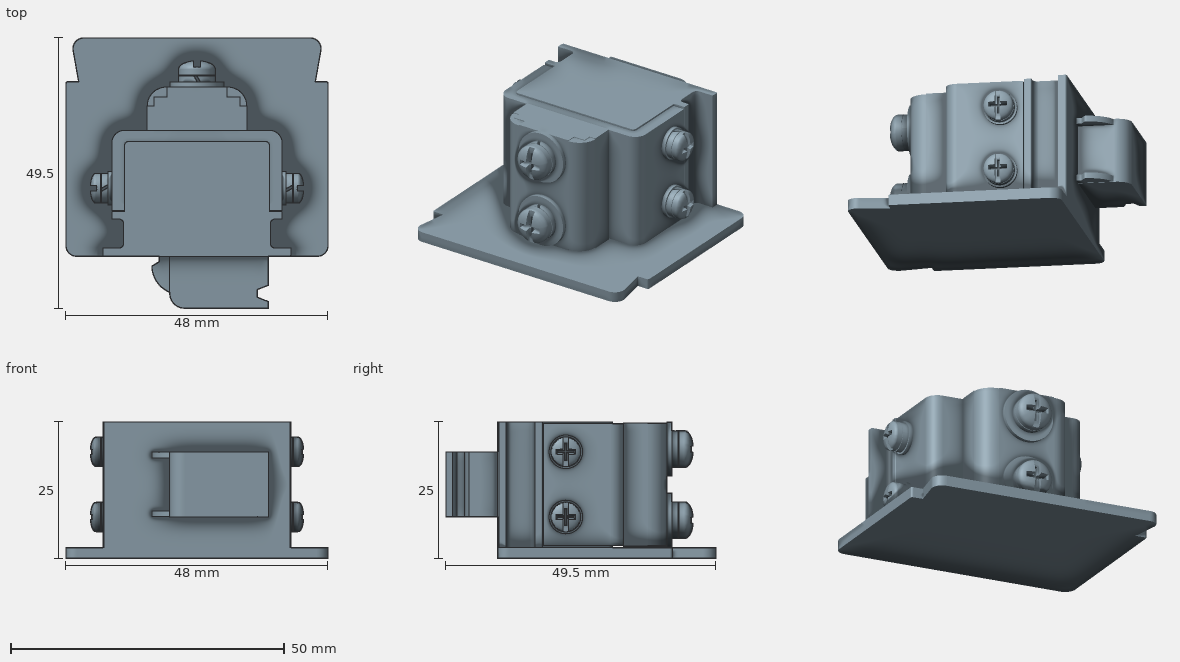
import cadquery as cq
import math


TOTAL_DEPTH = 49.5

PLATE_WIDTH = 48.0
PLATE_DEPTH = 40.0
PLATE_THICKNESS = 2.0
PLATE_CORNER_RADIUS = 2.0
SHOULDER_Y = 32.0
SHOULDER_RADIUS = 0.4
NECK_HALF_WIDTH = 21.7
NECK_FLARE_ANGLE = 10.0

TOTAL_HEIGHT = 25.0
CORE_HALF_WIDTH = 13.25
CORE_BACK_Y = 21.05
CORE_CORNER_RADIUS = 0.75
FRONT_FLANGE_HALF_WIDTH = 17.25
FRONT_FLANGE_THICKNESS = 1.55
FRONT_FLANGE_CHAMFER = 0.2
GROOVE_HALF_WIDTH = 13.4
GROOVE_RADIUS = 0.9
RIB_FRONT_Y = 6.85
RIB_BACK_Y = 8.2
RIB_CORNER_RADIUS = 0.2

BRACKET_HALF_WIDTH = 15.6
BRACKET_FRONT_Y = 8.4
BRACKET_BACK_Y = 23.05
BRACKET_CORNER_RADIUS = 2.35
BRACKET_RECESS = 0.35

BOSS_HALF_WIDTH = 9.1
BOSS_BACK_Y = 31.0
BOSS_CORNER_RADIUS = 3.45
BOSS_RECESS = 0.2
BOSS_INNER_HALF_WIDTH = 5.5
BOSS_STEP_HALF_WIDTH = 7.85
BOSS_STEP_Y = 29.15

LATCH_LEFT_X = -5.0
LATCH_RIGHT_X = 13.05
LATCH_LENGTH = TOTAL_DEPTH - PLATE_DEPTH
LATCH_CORNER_RADIUS = 2.7
LATCH_BOTTOM_Z = 7.55
LATCH_HEIGHT = 11.95
NOTCH_DEPTH = 2.05
NOTCH_Y = -6.8
NOTCH_MOUTH = 2.95
NOTCH_FLOOR = 1.4
TAB_THICKNESS = 1.1
TAB_RECESS = 0.05
TAB_ROOT_X = -6.95
TAB_ROOT_Y = -1.0
TAB_TIP_X = -8.25
TAB_TIP_START_Y = -1.8
TAB_TIP_END_Y = -2.15
TAB_MIDDLE = (-7.05, -5.1)
TAB_END_Y = -6.6

SIDE_SCREW_Y = 12.45
SIDE_SCREW_HEIGHTS = (7.55, 19.5)
REAR_SCREW_HEIGHTS = (7.0, 20.0)
SIDE_SCREW = dict(washer_radius=3.05, washer_thickness=0.75, head_radius=2.7, spring_thickness=1.3,
                  rim_height=2.9, head_height=3.95)
REAR_SCREW = dict(washer_radius=4.95, washer_thickness=0.9, head_radius=3.35, spring_thickness=1.3,
                  rim_height=3.25, head_height=4.85)
WASHER_GAP = 0.15
SPLIT_WIDTH = 0.5
SPLIT_ANGLE = 30.0
SLOT_WIDTH_RATIO = 0.36
SLOT_DEPTH = 1.2
CROSS_SPAN_RATIO = 1.36
CROSS_DEPTH = 1.8
CROSS_TAPER = 12.0


def box(x_range, y_range, z_range):
    """Box between the given limits along each axis."""
    (x0, x1), (y0, y1), (z0, z1) = x_range, y_range, z_range
    return cq.Workplane("XY").box(x1 - x0, y1 - y0, z1 - z0, centered=False).translate((x0, y0, z0))


def make_plate():
    half = PLATE_WIDTH / 2
    flare = (PLATE_DEPTH - SHOULDER_Y) * math.tan(math.radians(NECK_FLARE_ANGLE))
    back_half = NECK_HALF_WIDTH + flare
    right_side = [(half, 0), (half, SHOULDER_Y), (NECK_HALF_WIDTH, SHOULDER_Y), (back_half, PLATE_DEPTH)]
    left_side = [(-x, y) for x, y in reversed(right_side)]
    plate = cq.Workplane("XY").polyline(right_side + left_side).close().extrude(PLATE_THICKNESS)
    plate = plate.edges("|Z and (<Y or >Y)").fillet(PLATE_CORNER_RADIUS)
    return plate.edges("|Z and (<X or >X)").edges(">Y").fillet(SHOULDER_RADIUS)


def make_housing():
    """Core with a front flange and a rib on each side, and a groove between flange and rib."""
    heights = (PLATE_THICKNESS, TOTAL_HEIGHT)
    core = box((-CORE_HALF_WIDTH, CORE_HALF_WIDTH), (0, CORE_BACK_Y), heights)
    core = core.edges("|Z and >Y").fillet(CORE_CORNER_RADIUS)
    flange_width = (-FRONT_FLANGE_HALF_WIDTH, FRONT_FLANGE_HALF_WIDTH)
    front_flange = box(flange_width, (0, FRONT_FLANGE_THICKNESS), heights)
    front_flange = front_flange.edges("|Z and <Y").chamfer(FRONT_FLANGE_CHAMFER)
    ribs = box((-BRACKET_HALF_WIDTH, BRACKET_HALF_WIDTH), (RIB_FRONT_Y, RIB_BACK_Y), heights)
    ribs = ribs.edges("|Z").fillet(RIB_CORNER_RADIUS)
    groove_walls = box((-GROOVE_HALF_WIDTH, GROOVE_HALF_WIDTH), (0, RIB_BACK_Y), heights)
    housing = core.union(groove_walls).union(front_flange).union(ribs)
    groove_corners = cq.selectors.BoxSelector(
        (-GROOVE_HALF_WIDTH - RIB_CORNER_RADIUS / 2, FRONT_FLANGE_THICKNESS / 2, 0),
        (GROOVE_HALF_WIDTH + RIB_CORNER_RADIUS / 2, (RIB_FRONT_Y + RIB_BACK_Y) / 2, TOTAL_HEIGHT),
    )
    return housing.edges("|Z").edges(groove_corners).fillet(GROOVE_RADIUS)


def make_bracket():
    heights = (PLATE_THICKNESS + BRACKET_RECESS, TOTAL_HEIGHT - BRACKET_RECESS)
    block = box((-BRACKET_HALF_WIDTH, BRACKET_HALF_WIDTH), (BRACKET_FRONT_Y, BRACKET_BACK_Y), heights)
    block = block.edges("|Z and >Y").fillet(BRACKET_CORNER_RADIUS)
    opening = box((-CORE_HALF_WIDTH, CORE_HALF_WIDTH), (BRACKET_FRONT_Y, CORE_BACK_Y), heights)
    return block.cut(opening.edges("|Z and >Y").fillet(CORE_CORNER_RADIUS))


def make_boss():
    """Boss with rounded rear corners, each set a little lower along a stepped line."""
    tangent_y = BOSS_BACK_Y - BOSS_CORNER_RADIUS

    def rounded_block(recess):
        heights = (PLATE_THICKNESS + recess, TOTAL_HEIGHT - recess)
        block = box((-BOSS_HALF_WIDTH, BOSS_HALF_WIDTH), (BRACKET_BACK_Y, BOSS_BACK_Y), heights)
        return block.edges("|Z and >Y").fillet(BOSS_CORNER_RADIUS)

    right_side = [
        (BOSS_HALF_WIDTH, BRACKET_BACK_Y),
        (BOSS_HALF_WIDTH, tangent_y),
        (BOSS_STEP_HALF_WIDTH, tangent_y),
        (BOSS_STEP_HALF_WIDTH, BOSS_STEP_Y),
        (BOSS_INNER_HALF_WIDTH, BOSS_STEP_Y),
        (BOSS_INNER_HALF_WIDTH, BOSS_BACK_Y),
    ]
    left_side = [(-x, y) for x, y in reversed(right_side)]
    stepped = cq.Workplane("XY").polyline(right_side + left_side).close().extrude(TOTAL_HEIGHT)
    return rounded_block(BRACKET_RECESS).union(rounded_block(BOSS_RECESS).intersect(stepped))


def make_latch():
    latch_top_z = LATCH_BOTTOM_Z + LATCH_HEIGHT
    latch = box((LATCH_LEFT_X, LATCH_RIGHT_X), (-LATCH_LENGTH, 0), (LATCH_BOTTOM_Z, latch_top_z))
    latch = latch.edges("|Z and <X and <Y").fillet(LATCH_CORNER_RADIUS)
    notch = (
        cq.Workplane("XY", origin=(LATCH_RIGHT_X, NOTCH_Y, LATCH_BOTTOM_Z))
        .polyline([(0, -NOTCH_MOUTH / 2), (0, NOTCH_MOUTH / 2),
                   (-NOTCH_DEPTH, NOTCH_FLOOR / 2), (-NOTCH_DEPTH, -NOTCH_FLOOR / 2)])
        .close()
        .extrude(LATCH_HEIGHT)
    )
    latch = latch.cut(notch)
    lower_tab_z = LATCH_BOTTOM_Z + TAB_RECESS
    upper_tab_z = latch_top_z - TAB_RECESS - TAB_THICKNESS
    for tab_bottom_z in (lower_tab_z, upper_tab_z):
        tab = (
            cq.Workplane("XY", origin=(0, 0, tab_bottom_z))
            .moveTo(LATCH_LEFT_X, 0)
            .lineTo(TAB_ROOT_X, 0)
            .lineTo(TAB_ROOT_X, TAB_ROOT_Y)
            .lineTo(TAB_TIP_X, TAB_TIP_START_Y)
            .lineTo(TAB_TIP_X, TAB_TIP_END_Y)
            .threePointArc(TAB_MIDDLE, (LATCH_LEFT_X, TAB_END_Y))
            .close()
            .extrude(TAB_THICKNESS)
        )
        latch = latch.union(tab)
    return latch


def make_screw(seat, washer_radius, washer_thickness, head_radius, spring_thickness, rim_height, head_height):
    """Screw on the seat plane, whose normal is the screw axis and whose local Y points up."""
    spring_top = washer_thickness + spring_thickness
    screw = (
        cq.Workplane("XY")
        .moveTo(0, 0)
        .lineTo(washer_radius, 0)
        .lineTo(washer_radius, washer_thickness)
        .lineTo(head_radius, washer_thickness)
        .lineTo(head_radius, spring_top - WASHER_GAP)
        .lineTo(head_radius - WASHER_GAP, spring_top - WASHER_GAP)
        .lineTo(head_radius - WASHER_GAP, spring_top)
        .lineTo(head_radius, spring_top)
        .lineTo(head_radius, rim_height)
        .ellipseArc(head_radius, head_height - rim_height, 0, 90, startAtCurrent=True)
        .close()
        .revolve(360, (0, 0), (0, 1))
        .rotate((0, 0, 0), (1, 0, 0), 90)
    )
    spring_band = cq.Workplane("XY", origin=(0, 0, washer_thickness)).circle(washer_radius)
    spring_band = spring_band.extrude(spring_thickness - WASHER_GAP)
    split = (
        cq.Workplane("XY")
        .box(SPLIT_WIDTH, head_radius, 2 * spring_thickness)
        .rotate((0, 0, 0), (0, 1, 0), SPLIT_ANGLE)
        .translate((0, head_radius, washer_thickness + spring_thickness / 2))
    )
    screw = screw.cut(split.intersect(spring_band))
    slot_width = head_radius * SLOT_WIDTH_RATIO
    slot = cq.Workplane("XY", origin=(0, 0, head_height - SLOT_DEPTH)).rect(slot_width, 2 * head_radius)
    screw = screw.cut(slot.extrude(SLOT_DEPTH))
    cross_span = head_radius * CROSS_SPAN_RATIO
    for length, width in ((cross_span, slot_width), (slot_width, cross_span)):
        arm = cq.Workplane("XY", origin=(0, 0, head_height)).rect(length, width)
        screw = screw.cut(arm.extrude(-CROSS_DEPTH, taper=CROSS_TAPER))
    return screw.val().moved(seat.location)


def make_side_screws():
    screws = []
    for side in (-1, 1):
        for height in SIDE_SCREW_HEIGHTS:
            seat = cq.Plane((side * BRACKET_HALF_WIDTH, SIDE_SCREW_Y, height), (0, side, 0), (side, 0, 0))
            screws.append(make_screw(seat, **SIDE_SCREW))
    return screws


def make_rear_screws():
    screws = []
    for height in REAR_SCREW_HEIGHTS:
        seat = cq.Plane((0, BOSS_BACK_Y, height), (-1, 0, 0), (0, 1, 0))
        screws.append(make_screw(seat, **REAR_SCREW))
    return screws


frame = make_plate().union(make_housing()).union(make_bracket()).union(make_boss()).union(make_latch())
side_screws = make_side_screws()
rear_screws = make_rear_screws()

result = cq.Compound.makeCompound([frame.val(), *side_screws, *rear_screws])